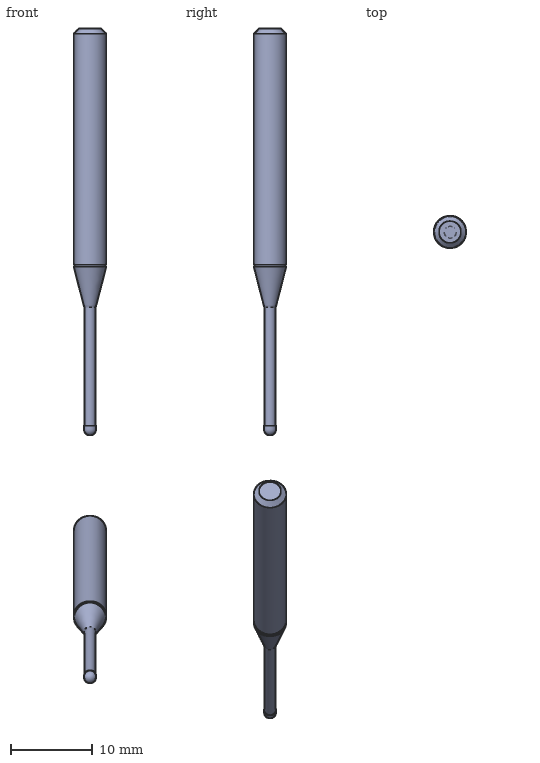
import cadquery as cq

total_length = 50.0
shank_radius = 2.0
end_chamfer = 0.65
shank_bottom = 21.0
groove_height = 0.3
groove_depth = 0.1
taper_bottom = 16.05
taper_end_radius = 0.8
neck_radius = 0.7
neck_blend_height = 0.3
ball_radius = 0.75
cutter_length = 1.2

groove_bottom = shank_bottom - groove_height
groove_radius = shank_radius - groove_depth
neck_top = taper_bottom - neck_blend_height
chamfer_bottom = total_length - end_chamfer
end_face_radius = shank_radius - end_chamfer


def revolve_about_z(profile):
    """Turn a closed (radius, height) profile in the XZ plane about the Z axis."""
    return profile.revolve(360, (0, 0, 0), (0, 1, 0))


def make_holder():
    """Shank with chamfered end, shallow groove, taper and slender neck."""
    profile = (
        cq.Workplane("XZ")
        .moveTo(0, cutter_length)
        .lineTo(neck_radius, cutter_length)
        .lineTo(neck_radius, neck_top)
        .lineTo(taper_end_radius, taper_bottom)
        .lineTo(shank_radius, groove_bottom)
        .lineTo(groove_radius, groove_bottom)
        .lineTo(groove_radius, shank_bottom)
        .lineTo(shank_radius, shank_bottom)
        .lineTo(shank_radius, chamfer_bottom)
        .lineTo(end_face_radius, total_length)
        .lineTo(0, total_length)
        .close()
    )
    return revolve_about_z(profile)


def make_cutter():
    """Ball-nosed tip that meets the flat lower end of the neck."""
    profile = (
        cq.Workplane("XZ")
        .moveTo(0, 0)
        .radiusArc((ball_radius, ball_radius), -ball_radius)
        .lineTo(ball_radius, cutter_length)
        .lineTo(0, cutter_length)
        .close()
    )
    return revolve_about_z(profile)


holder = make_holder()
cutter = make_cutter()

result = cq.Compound.makeCompound([holder.val(), cutter.val()])